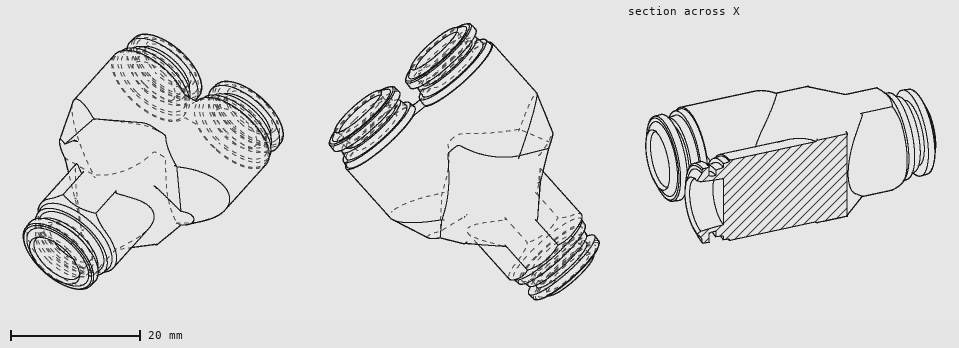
import cadquery as cq
import math

OVERALL_LENGTH = 41.3
PORT_OFFSET = 7.75
BRANCH_RADIUS = 7.25
NECK_RADIUS = 7.5
HALF_HEIGHT = NECK_RADIUS
FAR = 20.0

BLOCK_HALF_WIDTH = PORT_OFFSET
SHOULDER_Y = 16.1
MITRE_Y = 21.2
MITRE_ANGLE = math.radians(30)
SIDE_DRAFT = math.radians(30)
SIDE_SPREAD = HALF_HEIGHT * math.tan(SIDE_DRAFT)
CREST_RADIUS = 3.0
BLOCK_FILLET = 0.35

APEX_Y = 16.95
CONE_FRACTION = 0.95

WEB_HALF_THICKNESS = 2.93
WEB_FILLET = 0.5

BODY_START = 5.45
COLLAR_BORE_RADIUS = 4.1
COLLAR_MOUTH_RADIUS = 4.4
COLLAR_TIP_RADIUS = 4.76
MOUTH_CHAMFER_DEPTH = 0.65
BORE_DEPTH = 4.42
COLLAR_PROFILE = [
    (0.0, COLLAR_TIP_RADIUS),
    (0.83, 5.9),
    (0.83, 6.45),
    (1.0, 6.72),
    (2.1, 6.8),
    (2.1, 5.17),
    (2.55, 5.05),
    (3.13, 5.05),
    (3.13, 6.0),
    (4.42, 6.2),
    (4.42, 6.85),
    (BODY_START, 7.0),
]
NECK_CHAMFER_START_RADIUS = COLLAR_PROFILE[-1][1]

TAN_MITRE = math.tan(MITRE_ANGLE)
BODY_END = OVERALL_LENGTH - BODY_START


def revolve_about_y(points):
    """Turn (distance, radius) points around the Y axis."""
    outline = cq.Workplane("XY").polyline([(radius, y) for y, radius in points]).close()
    return outline.revolve(360, (0, 0, 0), (0, 1, 0))


def port_fitting():
    """Collar and rings with the tip at Y = 0, pointing to -Y."""
    return revolve_about_y([(0, 0)] + COLLAR_PROFILE + [(BODY_START, 0)])


def port_bore():
    """Blind, slightly tapered tube bore with a chamfered mouth."""
    return revolve_about_y([
        (0, 0),
        (0, COLLAR_TIP_RADIUS),
        (MOUTH_CHAMFER_DEPTH, COLLAR_MOUTH_RADIUS),
        (BORE_DEPTH, COLLAR_BORE_RADIUS),
        (BORE_DEPTH, 0),
    ])


def mirrored_x(shape):
    """Join a shape with its mirror image across the middle plane."""
    return shape.union(shape.mirror("YZ"))


def on_twin_ports(shape):
    """Place a copy of a single-port shape at both twin ports."""
    turned = shape.rotate((0, 0, 0), (0, 0, 1), 180)
    return mirrored_x(turned.translate((PORT_OFFSET, OVERALL_LENGTH, 0)))


def wing_limit():
    """Upright prism bounding the wings towards the single port."""
    wing_y = SHOULDER_Y + (FAR - BLOCK_HALF_WIDTH) * TAN_MITRE
    outline = [
        (BLOCK_HALF_WIDTH, SHOULDER_Y),
        (FAR, wing_y),
        (FAR, OVERALL_LENGTH),
        (-FAR, OVERALL_LENGTH),
        (-FAR, wing_y),
        (-BLOCK_HALF_WIDTH, SHOULDER_Y),
    ]
    return cq.Workplane("XY").workplane(offset=-FAR).polyline(outline).close().extrude(2 * FAR)


def block_section(height, spread):
    """Closed block outline at a height, grown outwards by spread on all but the -Y side."""
    half_width = BLOCK_HALF_WIDTH + spread
    corner_y = MITRE_Y + spread * TAN_MITRE
    radius = CREST_RADIUS + spread
    crest_y = MITRE_Y + BLOCK_HALF_WIDTH * TAN_MITRE
    arc_centre_y = crest_y - CREST_RADIUS / math.cos(MITRE_ANGLE)
    arc_x = radius * math.sin(MITRE_ANGLE)
    arc_y = arc_centre_y + radius * math.cos(MITRE_ANGLE)
    section = (
        cq.Workplane("XY").workplane(offset=height)
        .moveTo(-half_width, 0)
        .lineTo(half_width, 0)
        .lineTo(half_width, corner_y)
        .lineTo(arc_x, arc_y)
        .threePointArc((0, arc_centre_y + radius), (-arc_x, arc_y))
        .lineTo(-half_width, corner_y)
        .close()
    )
    return section.val()


def block():
    """Central block: flat top, drafted sides and a rounded crest between the ports."""
    sections = [block_section(0, SIDE_SPREAD), block_section(HALF_HEIGHT, 0)]
    upper = cq.Workplane("XY").add(cq.Solid.makeLoft(sections, True))
    upper = upper.faces(">Z").edges("not |X").fillet(BLOCK_FILLET).intersect(wing_limit())
    return upper.union(upper.mirror("XY"))


def front_wedge():
    """Upright wedge whose two 45 degree faces run from the block to the neck."""
    outline = [
        (0, SHOULDER_Y - BLOCK_HALF_WIDTH),
        (BLOCK_HALF_WIDTH, SHOULDER_Y),
        (-BLOCK_HALF_WIDTH, SHOULDER_Y),
    ]
    wedge = (
        cq.Workplane("XY").workplane(offset=-HALF_HEIGHT)
        .polyline(outline).close().extrude(2 * HALF_HEIGHT)
    )
    return wedge.faces("|Z").edges("not |X").fillet(BLOCK_FILLET)


def mitre_plane():
    """Mitre plane of the +X port, its normal pointing down and outwards."""
    along = (math.cos(MITRE_ANGLE), math.sin(MITRE_ANGLE), 0)
    normal = (math.sin(MITRE_ANGLE), -math.cos(MITRE_ANGLE), 0)
    return cq.Plane(origin=(PORT_OFFSET, MITRE_Y, 0), xDir=along, normal=normal)


def branch_body():
    """Round body of the +X port, ending in the mitre plane."""
    body = (
        cq.Workplane("XZ", origin=(PORT_OFFSET, BODY_END, 0))
        .circle(BRANCH_RADIUS).extrude(BODY_END - SHOULDER_Y + BRANCH_RADIUS)
    )
    below_mitre = cq.Workplane(mitre_plane()).rect(2 * FAR, 2 * FAR).extrude(FAR)
    return body.cut(below_mitre)


def wing():
    """Oblique cone from the mitre ellipse towards a point on the block's side ridge."""
    ridge_x = BLOCK_HALF_WIDTH + SIDE_SPREAD
    apex = mitre_plane().toLocalCoords(cq.Vector(ridge_x, APEX_Y, 0))
    scale = 1 - CONE_FRACTION
    semi_long = BRANCH_RADIUS / math.cos(MITRE_ANGLE)
    cone = (
        cq.Workplane(mitre_plane()).ellipse(semi_long, BRANCH_RADIUS)
        .workplane(offset=apex.z * CONE_FRACTION)
        .center(apex.x * CONE_FRACTION, apex.y * CONE_FRACTION)
        .ellipse(semi_long * scale, BRANCH_RADIUS * scale)
        .loft(ruled=True)
    )
    return cone.intersect(wing_limit())


def twin_bodies():
    """Both round bodies joined by a thin filleted web."""
    web = (
        cq.Workplane("XY")
        .box(2 * PORT_OFFSET, BODY_END - MITRE_Y, 2 * WEB_HALF_THICKNESS)
        .translate((0, (BODY_END + MITRE_Y) / 2, 0))
    )
    joined = mirrored_x(branch_body()).union(web)
    margin = 0.1
    seams = cq.selectors.BoxSelector(
        (-PORT_OFFSET / 2, MITRE_Y, -WEB_HALF_THICKNESS - margin),
        (PORT_OFFSET / 2, BODY_END, WEB_HALF_THICKNESS + margin),
    )
    return joined.edges("|Y").edges(seams).fillet(WEB_FILLET)


def neck():
    """Single port body: round sides, octagonal top and bottom, chamfered end."""
    flat_x = NECK_RADIUS * math.tan(math.pi / 8)
    tangent = NECK_RADIUS * math.sin(math.pi / 4)
    length = SHOULDER_Y - BODY_START
    body = (
        cq.Workplane("XZ", origin=(0, SHOULDER_Y, 0))
        .moveTo(-flat_x, NECK_RADIUS)
        .lineTo(flat_x, NECK_RADIUS)
        .lineTo(tangent, tangent)
        .threePointArc((NECK_RADIUS, 0), (tangent, -tangent))
        .lineTo(flat_x, -NECK_RADIUS)
        .lineTo(-flat_x, -NECK_RADIUS)
        .lineTo(-tangent, -tangent)
        .threePointArc((-NECK_RADIUS, 0), (-tangent, tangent))
        .close()
        .extrude(length)
    )
    chamfer_cone = revolve_about_y([
        (BODY_START, 0),
        (BODY_START, NECK_CHAMFER_START_RADIUS),
        (BODY_START + length, NECK_CHAMFER_START_RADIUS + length),
        (BODY_START + length, 0),
    ])
    return body.intersect(chamfer_cone)


body = twin_bodies().union(mirrored_x(wing())).union(block())
body = body.union(front_wedge()).union(neck())
body = body.union(port_fitting()).union(on_twin_ports(port_fitting()))
result = body.cut(port_bore()).cut(on_twin_ports(port_bore()))